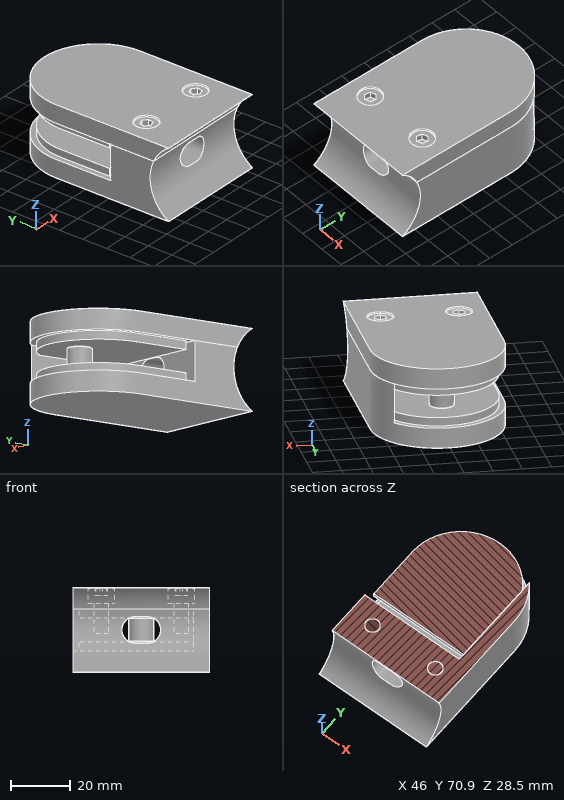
import cadquery as cq
import math

length = 70.85
width = 46.0
height = 28.5
end_radius = width / 2
end_center_y = length - end_radius

slot_height = 14.0
slot_floor_y = 24.7
side_wall_inner_x = 17.5

saddle_radius = 16.8
saddle_center_y = -math.sqrt(saddle_radius**2 - (height / 2) ** 2)

passage_width = 13.0
passage_height = 9.0

glass_gap = 8.0
pad_thickness = (slot_height - glass_gap) / 2
pad_clearance = 2.1
pad_radius = end_radius - pad_clearance

pin_diameter = 8.6
pin_center_y = 56.0
pin_edge_chamfer = 0.2

screw_x = 13.45
screw_y = 16.9
counterbore_diameter = 9.0
head_recess = 0.35
head_height = 5.0
head_edge_fillet = 0.6
shank_diameter = 5.0
shank_length = 10.0
hex_across_corners = 4.5
hex_depth = 2.35
hex_angle = 20.0

top_z = height / 2
split_z = slot_height / 2
head_top_z = top_z - head_recess
head_bottom_z = head_top_z - head_height


def rounded_plate(radius, start_y, bottom_z, thickness):
    """Plate with a straight end at start_y and a half-round end about the clamp's end center."""
    return (
        cq.Workplane("XY", origin=(0, 0, bottom_z))
        .moveTo(-radius, start_y)
        .lineTo(radius, start_y)
        .lineTo(radius, end_center_y)
        .threePointArc((0, end_center_y + radius), (-radius, end_center_y))
        .close()
        .extrude(thickness)
    )


def cylinder(diameter, x, y, bottom_z, cylinder_height):
    return (
        cq.Workplane("XY", origin=(x, y, bottom_z))
        .circle(diameter / 2)
        .extrude(cylinder_height)
    )


def screw_blank(x, edge_z):
    """Shank and plain cylindrical head, the head reaching up to edge_z."""
    head = cylinder(counterbore_diameter, x, screw_y, head_bottom_z, edge_z - head_bottom_z)
    shank = cylinder(shank_diameter, x, screw_y, head_bottom_z - shank_length, shank_length)
    return head.union(shank)


def cut_saddle_and_screw_holes(body):
    saddle = (
        cq.Workplane("YZ", origin=(-width / 2, saddle_center_y, 0))
        .circle(saddle_radius)
        .extrude(width)
    )
    body = body.cut(saddle)
    for x in (-screw_x, screw_x):
        body = body.cut(screw_blank(x, top_z))
    return body


def make_base():
    """Lower jaw with the saddle block and the side wall that closes the slot at +X."""
    base = rounded_plate(end_radius, 0, -top_z, top_z + split_z)
    glass_slot = (
        cq.Workplane("XY", origin=(0, 0, -split_z))
        .moveTo(-end_radius, slot_floor_y)
        .lineTo(side_wall_inner_x, slot_floor_y)
        .lineTo(side_wall_inner_x, length)
        .lineTo(-end_radius, length)
        .close()
        .extrude(slot_height)
    )
    passage = (
        cq.Workplane("XZ")
        .slot2D(passage_width, passage_height)
        .extrude(-slot_floor_y)
    )
    return cut_saddle_and_screw_holes(base.cut(glass_slot).cut(passage))


def make_cover():
    return cut_saddle_and_screw_holes(rounded_plate(end_radius, 0, split_z, top_z - split_z))


def make_pad(bottom_z):
    """Rounded pad trimmed flush against the side wall."""
    pad = rounded_plate(pad_radius, slot_floor_y + pad_clearance, bottom_z, pad_thickness)
    beyond_wall = (
        cq.Workplane("XY", origin=(side_wall_inner_x, 0, bottom_z))
        .rect(width, 2 * length)
        .extrude(pad_thickness)
        .translate((width / 2, 0, 0))
    )
    return pad.cut(beyond_wall)


def make_pin():
    pin = cylinder(pin_diameter, 0, pin_center_y, -glass_gap / 2, glass_gap)
    return pin.faces("<Z or >Z").chamfer(pin_edge_chamfer)


def make_screw(x):
    """Socket head screw with a rounded head rim."""
    screw = screw_blank(x, head_top_z).faces(">Z").edges().fillet(head_edge_fillet)
    hex_socket = (
        cq.Workplane("XY", origin=(x, screw_y, head_top_z - hex_depth))
        .transformed(rotate=(0, 0, hex_angle))
        .polygon(6, hex_across_corners)
        .extrude(hex_depth)
    )
    return screw.cut(hex_socket)


base = make_base()
cover = make_cover()
pads = [make_pad(bottom_z) for bottom_z in (-split_z, split_z - pad_thickness)]
pin = make_pin()
screws = [make_screw(x) for x in (-screw_x, screw_x)]

result = cq.Compound.makeCompound([body.val() for body in [base, cover, *pads, pin, *screws]])